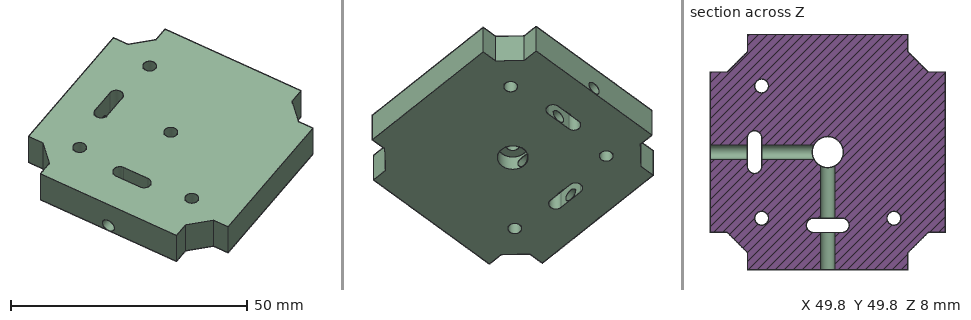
import cadquery as cq

side = 49.8
thickness = 8.0
half_side = side / 2

arm_half_width = 17.0
notch_ledge = 3.65
chamfer_start = half_side - notch_ledge

hole_diameter = 2.9
hole_offset = 14.0
slot_length = 9.0
slot_width = 3.0
slot_offset = 15.5

counterbore_diameter = 6.5
counterbore_depth = 4.0

side_hole_diameter = 3.0
side_hole_height = 1.6


def make_plate():
    """Square plate with all four corners notched, its bottom on Z = 0."""
    corner = [
        (half_side, arm_half_width),
        (chamfer_start, arm_half_width),
        (arm_half_width, chamfer_start),
        (arm_half_width, half_side),
    ]
    outline = []
    for _ in range(4):
        outline += corner
        corner = [(-y, x) for x, y in corner]
    return cq.Workplane("XY").polyline(outline).close().extrude(thickness)


def vertical_holes():
    """Centre hole and three holes near the corners."""
    centres = [
        (0, 0),
        (-hole_offset, hole_offset),
        (-hole_offset, -hole_offset),
        (hole_offset, -hole_offset),
    ]
    return cq.Workplane("XY").pushPoints(centres).circle(hole_diameter / 2).extrude(thickness)


def vertical_slot(x, y, angle):
    """Round-ended slot through the plate, centred on (x, y)."""
    return cq.Workplane("XY").center(x, y).slot2D(slot_length, slot_width, angle).extrude(thickness)


def centre_counterbore():
    """Counterbore in the bottom face, around the centre hole."""
    return cq.Workplane("XY").circle(counterbore_diameter / 2).extrude(counterbore_depth)


def side_hole(direction):
    """Horizontal hole from the plate centre outward along the direction."""
    start = cq.Vector(0, 0, side_hole_height)
    return cq.Solid.makeCylinder(side_hole_diameter / 2, half_side, start, cq.Vector(*direction))


result = (
    make_plate()
    .cut(vertical_holes())
    .cut(centre_counterbore())
    .cut(vertical_slot(-slot_offset, 0, 90))
    .cut(vertical_slot(0, -slot_offset, 0))
    .cut(side_hole((-1, 0, 0)))
    .cut(side_hole((0, -1, 0)))
)